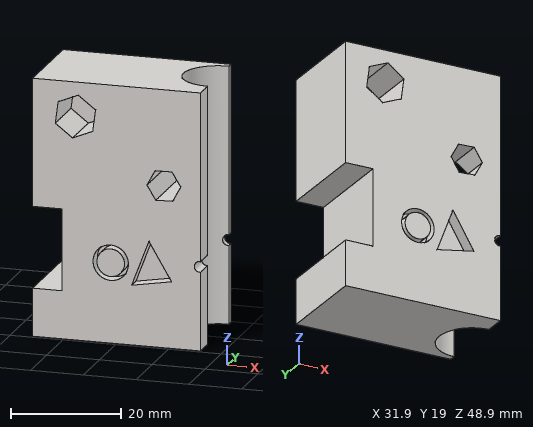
import cadquery as cq
import math

width = 31.85
depth = 19.0
height = 48.85

step_depth = 5.6
step_bottom = 9.15
step_top = 24.6

channel_radius = 6.6
channel_y = 11.05
notch_diameter = 2.0
notch_inset = 0.17
notch_z = 15.95

blind_hex_size = 8.25
blind_hex_center = (8.15, 42.3)
blind_hex_turn = 22.5
blind_hex_depth = 9.75
through_hex_size = 6.4
through_hex_center = (24.9, 30.65)
through_hex_turn = 1.5

triangle_corners = [(22.1, 19.95), (26.4, 12.65), (18.8, 11.35)]
triangle_depth = 2.7

ring_outer_diameter = 6.7
ring_inner_diameter = 5.25
ring_center = (14.85, 15.25)
ring_depth = 2.7


def front_sketch():
    """Workplane on the front face, with local axes along X and Z."""
    return cq.Workplane("XZ")


def hexagon_hole(size, center, turn, hole_depth):
    """Hexagonal prism running inward from the front face."""
    corners = []
    for side in range(6):
        angle = math.radians(turn + 60 * side)
        x = center[0] + size / 2 * math.cos(angle)
        z = center[1] + size / 2 * math.sin(angle)
        corners.append((x, z))
    return front_sketch().polyline(corners).close().extrude(-hole_depth)


block = cq.Workplane("XY").box(width, depth, height, centered=False)

step = (
    cq.Workplane("XY")
    .box(step_depth, depth, step_top - step_bottom, centered=False)
    .translate((0, 0, step_bottom))
)

channel = cq.Workplane("XY").center(width, channel_y).circle(channel_radius).extrude(height)
notch = (
    front_sketch()
    .center(width - notch_inset, notch_z)
    .circle(notch_diameter / 2)
    .extrude(-depth)
)

blind_hex = hexagon_hole(blind_hex_size, blind_hex_center, blind_hex_turn, blind_hex_depth)
through_hex = hexagon_hole(through_hex_size, through_hex_center, through_hex_turn, depth)

triangle = front_sketch().polyline(triangle_corners).close().extrude(-triangle_depth)

ring = (
    front_sketch()
    .center(*ring_center)
    .circle(ring_outer_diameter / 2)
    .circle(ring_inner_diameter / 2)
    .extrude(-ring_depth)
)

result = block
for cutter in (step, channel, notch, blind_hex, through_hex, triangle, ring):
    result = result.cut(cutter)